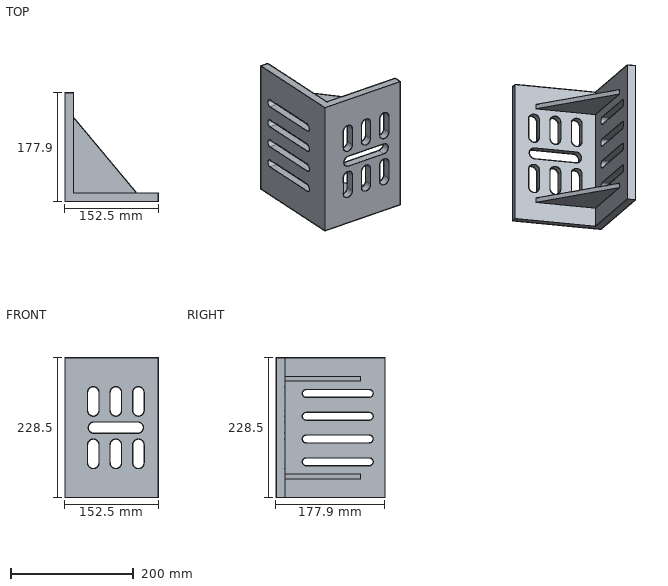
import cadquery as cq

width = 152.5
depth = 177.9
height = 228.5
wall = 14.5
mid_height = height / 2

gusset_reach_x = 117.0
gusset_reach_y = 137.5
gusset_thickness = 7.5
gusset_inset = 30.9

front_slot_width = 18.3
front_slot_length = 47.8
front_slot_pitch = 36.8
front_slot_offset = 42.7
front_slots_center_x = 83.2
cross_slot_length = 89.5

side_slot_width = 12.3
side_slot_length = 115.2
side_slots_center_y = 100.5
side_slot_offsets = (18.5, 55.8)


def front_slot(x, z, length, angle):
    """Rounded cutter through the front wall, lying along X at angle 0."""
    return (
        cq.Workplane("XZ")
        .center(x, z)
        .slot2D(length, front_slot_width, angle)
        .extrude(-wall)
    )


def side_slot(z):
    """Rounded cutter through the side wall, lying along Y."""
    return (
        cq.Workplane("YZ")
        .center(side_slots_center_y, z)
        .slot2D(side_slot_length, side_slot_width)
        .extrude(wall)
    )


def gusset(bottom):
    """Triangular web joining the inner faces of both walls."""
    return (
        cq.Workplane("XY", origin=(0, 0, bottom))
        .polyline([(wall, wall), (gusset_reach_x, wall), (wall, gusset_reach_y)])
        .close()
        .extrude(gusset_thickness)
    )


front_wall = cq.Workplane("XY").box(width, wall, height, centered=False)
side_wall = cq.Workplane("XY").box(wall, depth, height, centered=False)
result = front_wall.union(side_wall)

for bottom in (gusset_inset, height - gusset_inset - gusset_thickness):
    result = result.union(gusset(bottom))

for column in (-1, 0, 1):
    x = front_slots_center_x + column * front_slot_pitch
    for side in (-1, 1):
        z = mid_height + side * front_slot_offset
        result = result.cut(front_slot(x, z, front_slot_length, 90))
result = result.cut(front_slot(front_slots_center_x, mid_height, cross_slot_length, 0))

for offset in side_slot_offsets:
    for side in (-1, 1):
        result = result.cut(side_slot(mid_height + side * offset))